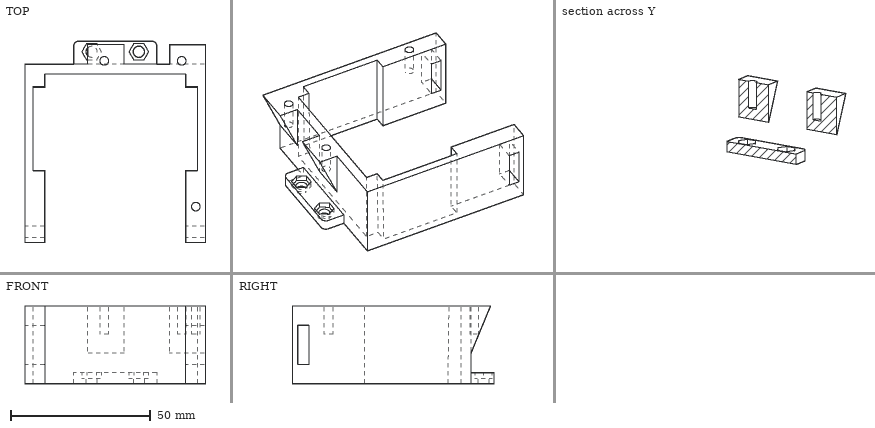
import cadquery as cq
import math

width = 65.0
height = 28.0
frame_depth = 64.2
back_wall = 3.6

thick_arm = 7.2
thin_arm = 3.0
front_pad_end = 25.9
rear_post_start_bottom = 55.9
rear_post_start_top = 56.25

window_start = 1.95
window_length = 4.0
window_height = 14.0

total_depth = 72.5
tab_width = 30.0
tab_thickness = 4.0
tab_corner_radius = 1.95
bolt_spacing = 17.0
bolt_y = 68.65
bolt_diameter = 4.0
nut_across_flats = 6.1
nut_depth = 2.0

boss_width = 13.0
boss_reach = 7.0
boss_height = 17.0
boss_starts = (22.6, width - boss_width)
screw_diameter = 3.1
screw_depth = 10.0
boss_screw_y = 65.4
screw_points = ((28.6, boss_screw_y), (56.4, boss_screw_y), (61.5, 13.0))


def block(x, y, z, length_x, length_y, length_z):
    """Box placed by its lowest corner."""
    return cq.Workplane("XY").box(length_x, length_y, length_z, centered=False).translate((x, y, z))


def extruded_along_x(points, x, length):
    """YZ outline extruded from x towards +X."""
    return cq.Workplane("YZ").workplane(offset=x).polyline(points).close().extrude(length)


def make_frame():
    """U-shaped frame whose arms are recessed between the front pads and rear posts."""
    frame = block(0, 0, 0, width, frame_depth, height)
    opening = block(thick_arm, 0, 0, width - 2 * thick_arm, frame_depth - back_wall, height)
    recess_outline = [
        (front_pad_end, 0),
        (rear_post_start_bottom, 0),
        (rear_post_start_top, height),
        (front_pad_end, height),
    ]
    recess = extruded_along_x(recess_outline, thin_arm, width - 2 * thin_arm)
    return frame.cut(opening).cut(recess)


def make_tab():
    """Bottom tab with its two outer corners rounded."""
    tab = block((width - tab_width) / 2, frame_depth, 0, tab_width, total_depth - frame_depth, tab_thickness)
    return tab.edges("|Z and >Y").fillet(tab_corner_radius)


def make_boss(x):
    """Wedge that is widest at the top and runs out on the back wall."""
    outline = [
        (frame_depth, height),
        (frame_depth + boss_reach, height),
        (frame_depth, height - boss_height),
    ]
    return extruded_along_x(outline, x, boss_width)


def make_bolt_cuts():
    """Through holes with hexagonal nut pockets in the top of the tab."""
    points = [(width / 2 + side * bolt_spacing / 2, bolt_y) for side in (-1, 1)]
    nut_across_corners = nut_across_flats / math.cos(math.pi / 6)
    holes = cq.Workplane("XY").pushPoints(points).circle(bolt_diameter / 2).extrude(tab_thickness)
    pockets = (
        cq.Workplane("XY")
        .workplane(offset=tab_thickness - nut_depth)
        .pushPoints(points)
        .polygon(6, nut_across_corners)
        .extrude(nut_depth)
    )
    return holes.union(pockets)


def make_screw_holes():
    """Blind vertical holes from the top face."""
    top = cq.Workplane("XY").workplane(offset=height)
    return top.pushPoints(screw_points).circle(screw_diameter / 2).extrude(-screw_depth)


result = make_frame().union(make_tab())
for boss_start in boss_starts:
    result = result.union(make_boss(boss_start))

window_bottom = (height - window_height) / 2
windows = block(0, window_start, window_bottom, width, window_length, window_height)
result = result.cut(windows).cut(make_bolt_cuts()).cut(make_screw_holes())